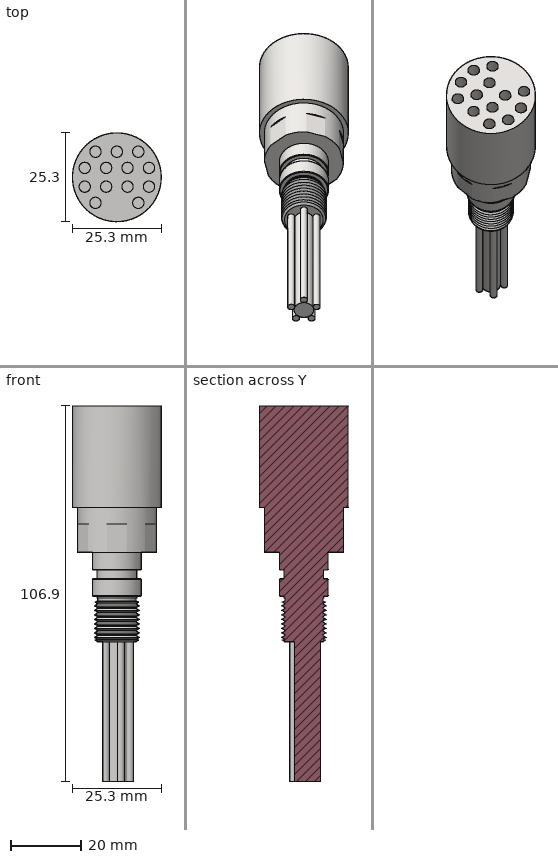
import cadquery as cq
import math

total_height = 106.9
shell_bottom = 78.0
nut_bottom = 65.2
flat_top = 73.4
groove_top = 60.2
groove_bottom = 57.7
collar_bottom = 52.7
shoulder_bottom = 52.3
thread_top = 51.4
thread_bottom = 39.8

shell_diameter = 25.3
nut_diameter = 22.6
collar_diameter = 14.0
collar_chamfer = 0.2
thread_diameter = 12.8
groove_diameter = 11.3
root_diameter = 11.0

thread_pitch = 1.3
root_width = 0.2
full_ring_count = 8
first_crest = 41.1
end_ring_diameter = 12.4
bottom_ring_offset = 0.5
top_ring_offset = 0.3

flat_count = 6
flat_width = 5.6

socket_diameter = 3.2
socket_depth = 10.7
socket_pitch = 6.1
inner_row_y = 2.7
outer_row_y = 7.3

core_diameter = 5.6
wire_diameter = 2.0
wire_count = 5
wire_embed = 0.01
wire_circle_radius = (core_diameter + wire_diameter) / 2 - wire_embed


def cylinder(diameter, bottom, top, center=(0, 0)):
    """Vertical cylinder between two heights."""
    base = cq.Workplane("XY").workplane(offset=bottom).center(*center)
    return base.circle(diameter / 2).extrude(top - bottom)


def threaded_section():
    """Ring-shaped thread teeth with a smaller partial ring at each end."""
    root = root_diameter / 2
    crest = thread_diameter / 2
    tooth_half_width = (thread_pitch - root_width) / 2

    outline = [(0, thread_bottom), (root, thread_bottom)]
    outline.append((end_ring_diameter / 2, thread_bottom + bottom_ring_offset))
    for ring in range(full_ring_count):
        crest_z = first_crest + ring * thread_pitch
        outline.append((root, crest_z - tooth_half_width))
        outline.append((crest, crest_z))
        outline.append((root, crest_z + tooth_half_width))
    outline.append((end_ring_diameter / 2, thread_top - top_ring_offset))
    outline.append((root, thread_top))
    outline.append((0, thread_top))
    return cq.Workplane("XZ").polyline(outline).close().revolve(360, (0, 0), (0, 1))


def nut():
    """Round nut with short flats cut up from its lower edge."""
    body = cylinder(nut_diameter, nut_bottom, shell_bottom)
    flat_distance = math.sqrt((nut_diameter / 2) ** 2 - (flat_width / 2) ** 2)
    cutter = cq.Workplane("XY").box(
        nut_diameter, nut_diameter, flat_top - nut_bottom, centered=(False, True, False)
    ).translate((flat_distance, 0, nut_bottom))
    for index in range(flat_count):
        angle = 90 + index * 360 / flat_count
        body = body.cut(cutter.rotate((0, 0, 0), (0, 0, 1), angle))
    return body


def socket_positions():
    """Rows of three, four, four and two sockets, from +Y to -Y."""
    rows = [
        (outer_row_y, (-1, 0, 1)),
        (inner_row_y, (-1.5, -0.5, 0.5, 1.5)),
        (-inner_row_y, (-1.5, -0.5, 0.5, 1.5)),
        (-outer_row_y, (-1, 1)),
    ]
    return [(step * socket_pitch, y) for y, steps in rows for step in steps]


def shell():
    """Plain sleeve with blind sockets in its top face."""
    body = cylinder(shell_diameter, shell_bottom, total_height)
    top_face = cq.Workplane("XY").workplane(offset=total_height)
    sockets = top_face.pushPoints(socket_positions()).circle(socket_diameter / 2).extrude(-socket_depth)
    return body.cut(sockets)


def cable():
    """Core and wires hanging below the thread."""
    bundle = cylinder(core_diameter, 0, thread_bottom)
    for index in range(wire_count):
        angle = 2 * math.pi * index / wire_count
        center = (wire_circle_radius * math.cos(angle), wire_circle_radius * math.sin(angle))
        bundle = bundle.union(cylinder(wire_diameter, 0, thread_bottom, center))
    return bundle


upper_collar = cylinder(collar_diameter, groove_top, nut_bottom)
upper_collar = upper_collar.faces("<Z").chamfer(collar_chamfer)
lower_collar = cylinder(collar_diameter, collar_bottom, groove_bottom)
lower_collar = lower_collar.faces("<Z or >Z").chamfer(collar_chamfer)
groove_floor = cylinder(groove_diameter, groove_bottom, groove_top)
shoulder = cylinder(groove_diameter, shoulder_bottom, collar_bottom)
neck = cylinder(root_diameter, thread_top, shoulder_bottom)

result = shell().union(nut())
for section in (upper_collar, groove_floor, lower_collar, shoulder, neck):
    result = result.union(section)
result = result.union(threaded_section()).union(cable())